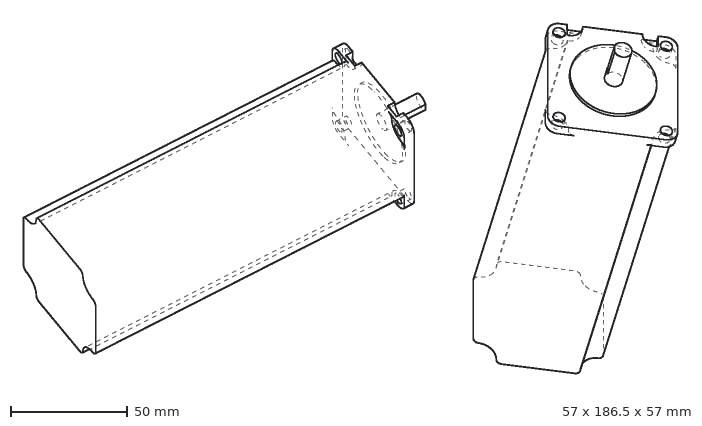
import cadquery as cq
import math

overall_length = 186.5
frame_width = 57.0
half_width = frame_width / 2

shaft_length = 22.0
shaft_diameter = 8.0
shaft_flat_length = 15.0
shaft_flat_offset = 3.5

pilot_diameter = 38.0
pilot_height = 1.7

flange_thickness = 5.0
flange_corner_radius = 5.2
hole_diameter = 5.2
hole_offset = 23.5

groove_radius = 7.6
groove_lip_radius = 2.5

cap_height = 1.3
cap_base_diameter = 44.0
cap_end_diameter = 35.8

notch_depth = 3.5
notch_inner_x = 13.0
notch_radius = 6.0
notch_outer_fillet = 1.0

body_length = overall_length - shaft_length - cap_height


def section_at(y):
    """Section plane normal to Y, with local x and y along X and Z, extruding towards -Y."""
    return cq.Workplane("XZ", origin=(0, y, 0))


def make_flange():
    flange = section_at(0).rect(frame_width, frame_width).extrude(flange_thickness)
    flange = flange.edges("|Y").fillet(flange_corner_radius)
    holes = (
        section_at(0)
        .rect(2 * hole_offset, 2 * hole_offset, forConstruction=True)
        .vertices()
        .circle(hole_diameter / 2)
        .extrude(flange_thickness)
    )
    return flange.cut(holes)


def make_housing():
    """Square housing behind the flange, with a rounded groove and two rounded lips along each corner."""
    groove_center = half_width - groove_lip_radius
    lip_end = groove_center - groove_radius - groove_lip_radius
    groove_edge = groove_center - groove_radius
    lip_mid = groove_lip_radius * math.sqrt(0.5)
    groove_mid = groove_center - groove_radius * math.sqrt(0.5)

    housing_length = body_length - flange_thickness
    housing = section_at(-flange_thickness).rect(frame_width, frame_width).extrude(housing_length)
    corner = (
        section_at(-flange_thickness)
        .moveTo(lip_end, half_width)
        .threePointArc((lip_end + lip_mid, groove_center + lip_mid), (groove_edge, groove_center))
        .threePointArc((groove_mid, groove_mid), (groove_center, groove_edge))
        .threePointArc((groove_center + lip_mid, lip_end + lip_mid), (half_width, lip_end))
        .lineTo(half_width, half_width)
        .close()
        .extrude(housing_length)
    )
    for quarter in range(4):
        housing = housing.cut(corner.rotate((0, 0, 0), (0, 1, 0), 90 * quarter))
    return housing


def make_notch():
    """Curved relief in the front edge of the +Z face, deepest towards its outer end."""
    floor_x = notch_inner_x + notch_radius
    floor_z = half_width - notch_radius
    outer_x = floor_x + notch_outer_fillet
    diagonal = math.sqrt(0.5)
    return (
        section_at(0)
        .moveTo(notch_inner_x, half_width)
        .threePointArc(
            (floor_x - notch_radius * diagonal, half_width - notch_radius * diagonal),
            (floor_x, floor_z),
        )
        .threePointArc(
            (floor_x + notch_outer_fillet * diagonal, floor_z + notch_outer_fillet * (1 - diagonal)),
            (outer_x, floor_z + notch_outer_fillet),
        )
        .lineTo(outer_x, half_width)
        .close()
        .extrude(notch_depth)
    )


def make_shaft():
    shaft = section_at(shaft_length).circle(shaft_diameter / 2).extrude(shaft_length)
    flat = (
        section_at(shaft_length)
        .center(shaft_flat_offset + shaft_diameter / 2, 0)
        .rect(shaft_diameter, shaft_diameter)
        .extrude(shaft_flat_length)
    )
    return shaft.cut(flat)


def make_rear_cap():
    return (
        section_at(-body_length)
        .circle(cap_base_diameter / 2)
        .workplane(offset=cap_height)
        .circle(cap_end_diameter / 2)
        .loft()
    )


notch = make_notch()
pilot = section_at(pilot_height).circle(pilot_diameter / 2).extrude(pilot_height)

result = (
    make_flange()
    .union(make_housing())
    .cut(notch)
    .cut(notch.mirror("YZ"))
    .union(pilot)
    .union(make_shaft())
    .union(make_rear_cap())
)